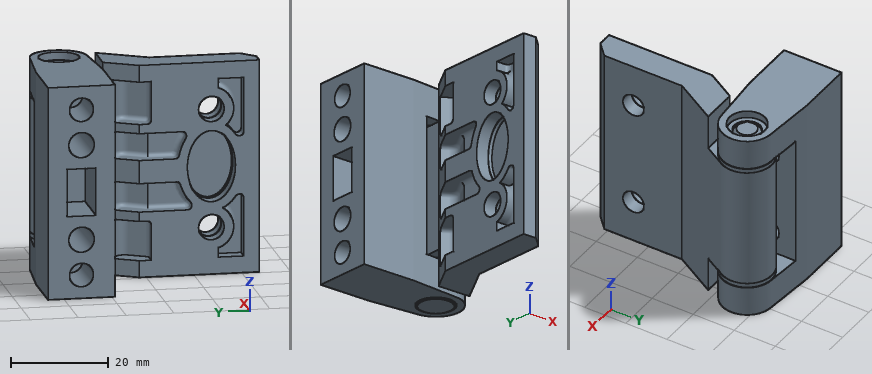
import cadquery as cq
import math


height = 44.9
half_height = height / 2
barrel_diameter = 12.0
barrel_radius = barrel_diameter / 2
knuckle_height = 28.58
knuckle_top = knuckle_height / 2

housing_reach = 25.0
housing_width = 14.0
housing_half_width = housing_width / 2
taper_start_x = -11.9
slot_height = 30.85
slot_back_x = -8.0
pocket_width = 6.0
pocket_height = 10.0
blind_depth = 12.0
screw_hole_diameter = 5.0
screw_hole_z = 17.5
through_hole_diameter = 5.3
through_hole_z = 10.0

pin_diameter = 5.9
bushing_bore = 6.0
fork_bore = 6.2
bushing_diameter = 8.0
knuckle_bore = 8.1
head_diameter = 8.0
head_chamfer = 0.2
head_recess_diameter = 8.5
head_recess_depth = 1.65
head_projection = 0.25
pin_top_inset = 1.2
pin_tip_chamfer = 0.75
flange_thickness = 1.0
bushing_length = 10.0

leaf_front_x = -9.95
leaf_thickness = 6.4
leaf_back_x = leaf_front_x + leaf_thickness
leaf_end_y = -40.0
leaf_chamfer_x = 3.1
leaf_chamfer_y = 2.9
wing_top_y = -8.05
slant_angle = math.radians(60)
slant_sin = math.sin(slant_angle)
slant_cos = math.cos(slant_angle)

recess_depth = 3.05
floor_x = leaf_front_x + recess_depth
floor_thickness = leaf_thickness - recess_depth
recess_fillet = 0.95
heel_fillet = 1.97
heel_y = -9.9
recess_outer_z = 18.9
short_recess_end_y = -17.45
upper_short_recess_z = 9.9
lower_short_recess_z = -10.58
long_recess_spans = ((2.3, 8.0), (-8.6, -2.6))
corner_recess_start_y = -31.45
corner_recess_end_y = -36.75

mount_hole_diameter = 5.3
mount_hole_y = -30.0
mount_hole_z = 12.5
mount_boss_radius = 4.65
ledge = 0.1
badge_z = 0.4
badge_half_width = 5.05
badge_half_height = 7.5
badge_depth = 4.0
badge_wall = 1.97

back_slant = barrel_radius
floor_slant = back_slant - floor_thickness
front_slant = -barrel_radius * slant_sin - wing_top_y * slant_cos


def slant_x(distance, y):
    """X of a slanted face at the given y."""
    return (distance + y * slant_cos) / slant_sin


def slant_y(distance, x):
    """Y of a slanted face at the given x."""
    return (x * slant_sin - distance) / slant_cos


def cylinder(diameter, bottom, top):
    """Cylinder on the pin axis."""
    return cq.Workplane().workplane(offset=bottom).circle(diameter / 2).extrude(top - bottom)


def box(x_limits, y_limits, z_limits):
    """Axis-aligned block given by its limits."""
    limits = (x_limits, y_limits, z_limits)
    size = [high - low for low, high in limits]
    centre = tuple((low + high) / 2 for low, high in limits)
    return cq.Workplane().box(*size).translate(centre)


def facing_x(x, y, z):
    """Sketch plane facing +X at the given point, with Y and Z as its axes."""
    return cq.Workplane("YZ", origin=(x, y, z))


parallel = 0.9
tolerance = 0.05


def close(value, target):
    return abs(value - target) < tolerance


def fillet_where(body, radius, test):
    """Round every edge whose middle point and direction there pass the test."""
    edges = [edge for edge in body.edges().vals() if test(edge.positionAt(0.5), edge.tangentAt(0.5))]
    return body.newObject(edges).fillet(radius)



def make_housing_block():
    """Block whose tapered flanks run tangentially into the round end."""
    corner_distance = math.hypot(taper_start_x, housing_half_width)
    corner_angle = math.atan2(housing_half_width, taper_start_x)
    tangent_angle = corner_angle - math.acos(barrel_radius / corner_distance)
    tangent_x = barrel_radius * math.cos(tangent_angle)
    tangent_y = barrel_radius * math.sin(tangent_angle)
    return (
        cq.Workplane()
        .moveTo(-housing_reach, -housing_half_width)
        .lineTo(taper_start_x, -housing_half_width)
        .lineTo(tangent_x, -tangent_y)
        .threePointArc((barrel_radius, 0), (tangent_x, tangent_y))
        .lineTo(taper_start_x, housing_half_width)
        .lineTo(-housing_reach, housing_half_width)
        .close()
        .extrude(half_height, both=True)
    )


def end_face_hole(diameter, z, depth):
    """Round hole from the flat end of the housing."""
    return facing_x(-housing_reach, 0, z).circle(diameter / 2).extrude(depth)


def make_housing():
    knuckle_slot = box(
        (slot_back_x, barrel_diameter),
        (-housing_width, housing_width),
        (-slot_height / 2, slot_height / 2),
    )
    housing = make_housing_block().cut(knuckle_slot)
    housing = housing.cut(cylinder(fork_bore, -half_height, half_height))
    head_recess = cylinder(head_recess_diameter, half_height - head_recess_depth, half_height)
    housing = housing.cut(head_recess).cut(head_recess.mirror("XY"))
    for side in (-1, 1):
        to_slot = housing_reach + slot_back_x
        housing = housing.cut(end_face_hole(through_hole_diameter, side * through_hole_z, to_slot))
        housing = housing.cut(end_face_hole(screw_hole_diameter, side * screw_hole_z, blind_depth))
    pocket = facing_x(-housing_reach, 0, 0).rect(pocket_width, pocket_height).extrude(blind_depth)
    return housing.cut(pocket)



def make_leaf_blank():
    """Cranked plate with the knuckle that fits between the fork arms."""
    wing_corner = (slant_x(back_slant, wing_top_y), wing_top_y)
    plate = (
        cq.Workplane()
        .moveTo(-barrel_radius, wing_top_y)
        .lineTo(leaf_front_x, slant_y(front_slant, leaf_front_x))
        .lineTo(leaf_front_x, leaf_end_y)
        .lineTo(leaf_back_x - leaf_chamfer_x, leaf_end_y)
        .lineTo(leaf_back_x, leaf_end_y + leaf_chamfer_y)
        .lineTo(leaf_back_x, slant_y(back_slant, leaf_back_x))
        .lineTo(*wing_corner)
        .close()
        .extrude(half_height, both=True)
    )
    knuckle = (
        cq.Workplane()
        .moveTo(-barrel_radius, wing_top_y)
        .lineTo(*wing_corner)
        .lineTo(barrel_radius * slant_sin, -barrel_radius * slant_cos)
        .threePointArc((0, barrel_radius), (-barrel_radius, 0))
        .close()
        .extrude(knuckle_top, both=True)
    )
    return plate.union(knuckle).cut(cylinder(knuckle_bore, -knuckle_top, knuckle_top))


def make_badge_boss():
    """Elliptical column that the recesses leave standing around the badge."""
    boss = facing_x(leaf_front_x - leaf_thickness, mount_hole_y, badge_z)
    boss = boss.ellipse(badge_half_width + badge_wall, badge_half_height + badge_wall)
    return boss.extrude(2 * leaf_thickness)


slant_depth = floor_slant - front_slant
heel_top_x = slant_x(front_slant, heel_y)
heel_floor = (heel_top_x + slant_depth * slant_sin, heel_y - slant_depth * slant_cos)
mouth_x = heel_top_x - slant_depth * slant_sin
mouth_y = heel_y + slant_depth * slant_cos


def knuckle_recess(floor_points, low_z, high_z):
    """Space of a knuckle-side recess whose floor runs from the heel through the given points."""
    outline = cq.Workplane().workplane(offset=low_z).moveTo(mouth_x, mouth_y).lineTo(*heel_floor)
    for point in floor_points:
        outline = outline.lineTo(*point)
    end_y = floor_points[-1][1]
    space = outline.lineTo(mouth_x, end_y).close().extrude(high_z - low_z)

    def at_heel(point, _):
        return close(point.x, heel_floor[0]) and close(point.y, heel_floor[1])

    return fillet_where(space, heel_fillet, at_heel)


def short_recess(inner_z, outer_z):
    """Recess that ends in a wall just past the slant; its outer side stays sharp."""
    floor_end = (slant_x(floor_slant, short_recess_end_y), short_recess_end_y)
    space = knuckle_recess([floor_end], min(inner_z, outer_z), max(inner_z, outer_z))

    def rounded(point, direction):
        along_end_wall = abs(direction.z) > parallel and close(point.y, short_recess_end_y)
        return not close(point.x, mouth_x) and (close(point.z, inner_z) or along_end_wall)

    return fillet_where(space, recess_fillet, rounded)


def long_recess(low_z, high_z):
    """Recess that carries on along the flat part up to the badge boss, rounded all round."""
    floor_bend_y = slant_y(floor_slant, floor_x)
    floor_points = [(floor_x, floor_bend_y), (floor_x, mount_hole_y)]
    space = knuckle_recess(floor_points, low_z, high_z).cut(make_badge_boss())

    def rounded(point, direction):
        before_bend = point.y > floor_bend_y or close(point.y, floor_bend_y)
        across_floor = abs(direction.z) > parallel and before_bend
        return not close(point.x, mouth_x) and not across_floor

    return fillet_where(space, recess_fillet, rounded)


def corner_recess(side):
    """Recess between a mounting hole boss, the badge boss and the corner of the leaf."""
    hole_z = side * mount_hole_z
    space = box(
        (leaf_front_x, floor_x),
        (corner_recess_end_y, corner_recess_start_y),
        sorted((0, side * recess_outer_z)),
    )
    mount_boss = facing_x(leaf_front_x, mount_hole_y, hole_z).circle(mount_boss_radius)
    space = space.cut(mount_boss.extrude(recess_depth))

    def under_start_wall_or_boss(point, _):
        on_start_wall = close(point.y, corner_recess_start_y) and abs(point.z) > mount_hole_z
        on_mount_boss = close(math.hypot(point.y - mount_hole_y, point.z - hole_z), mount_boss_radius)
        return close(point.x, floor_x) and (on_start_wall or on_mount_boss)

    space = fillet_where(space, recess_fillet, under_start_wall_or_boss).cut(make_badge_boss())
    space = space.newObject([max(space.solids().vals(), key=lambda part: part.Volume())])

    def at_narrow_end(point, direction):
        on_end_wall = close(point.y, corner_recess_end_y) and abs(point.z) < mount_hole_z
        return abs(direction.x) > parallel and on_end_wall

    return fillet_where(space, recess_fillet, at_narrow_end)


def mount_hole(side):
    """Hole through the leaf, a little narrower below the depth of the recesses."""
    centre = (mount_hole_y, side * mount_hole_z)
    upper = facing_x(leaf_front_x, *centre).circle(mount_hole_diameter / 2)
    lower = facing_x(leaf_front_x, *centre).circle(mount_hole_diameter / 2 - ledge)
    return upper.extrude(recess_depth).union(lower.extrude(leaf_thickness))


def badge_recess():
    """Elliptical recess, a little narrower below the depth of the other recesses."""
    centre = (mount_hole_y, badge_z)
    upper = facing_x(leaf_front_x, *centre).ellipse(badge_half_width, badge_half_height)
    lower = facing_x(leaf_front_x, *centre)
    lower = lower.ellipse(badge_half_width - ledge, badge_half_height - ledge)
    return upper.extrude(recess_depth).union(lower.extrude(badge_depth))


def make_leaf():
    leaf = make_leaf_blank()
    leaf = leaf.cut(short_recess(upper_short_recess_z, recess_outer_z))
    leaf = leaf.cut(short_recess(lower_short_recess_z, -recess_outer_z))
    for low_z, high_z in long_recess_spans:
        leaf = leaf.cut(long_recess(low_z, high_z))
    for side in (-1, 1):
        leaf = leaf.cut(corner_recess(side)).cut(mount_hole(side))
    return leaf.cut(badge_recess())



def make_bushing(side):
    """Bushing in one end of the knuckle, its flange between the knuckle and the fork arm."""
    flange_top = knuckle_top + flange_thickness
    barrel_end = flange_top - bushing_length
    flange = cylinder(barrel_diameter, knuckle_top, flange_top)
    barrel = cylinder(bushing_diameter, barrel_end, knuckle_top)
    bushing = flange.union(barrel).cut(cylinder(bushing_bore, barrel_end, flange_top))
    return bushing if side > 0 else bushing.mirror("XY")


def make_pin():
    head_bottom = -half_height - head_projection
    head_top = -half_height + head_recess_depth
    shank = cylinder(pin_diameter, head_bottom, half_height - pin_top_inset)
    head = cylinder(head_diameter, head_bottom, head_top).faces("<Z").chamfer(head_chamfer)
    return shank.faces(">Z").chamfer(pin_tip_chamfer).union(head)


housing = make_housing()
leaf = make_leaf()
pin = make_pin()
bushings = [make_bushing(side).val() for side in (-1, 1)]

result = cq.Compound.makeCompound([housing.val(), leaf.val(), pin.val(), *bushings])